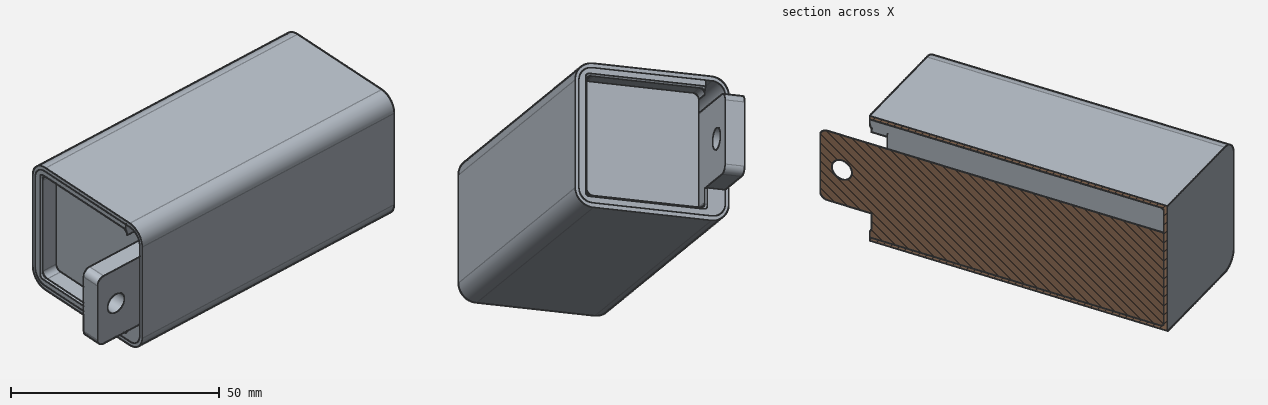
import cadquery as cq

WIDTH = 39.2
HEIGHT = 36.2
TOTAL_LENGTH = 94.7
TAB_REACH = 13.5
HOUSING_LENGTH = TOTAL_LENGTH - TAB_REACH
OUTER_RADIUS = 4.5
SIDE_WALL = 0.9
TOP_WALL = 1.1
BACK_WALL = TOP_WALL
EDGE_CHAMFER = 0.5

CAVITY_WIDTH = WIDTH - 2 * SIDE_WALL
CAVITY_HEIGHT = HEIGHT - 2 * TOP_WALL
CAVITY_DEPTH = HOUSING_LENGTH - BACK_WALL
CAVITY_RADIUS = OUTER_RADIUS - TOP_WALL

TAB_THICKNESS = 5.0
TAB_HEIGHT = 20.1
TAB_RADIUS = 2.0
HOLE_DIAMETER = 5.4
HOLE_FROM_TIP = 6.0
TAB_RIGHT = CAVITY_WIDTH / 2
TAB_LEFT = TAB_RIGHT - TAB_THICKNESS

POCKET_MARGIN = 3.1
POCKET_DEPTH = 4.7
POCKET_LEFT = -WIDTH / 2 + POCKET_MARGIN
POCKET_WIDTH = TAB_LEFT - POCKET_LEFT
POCKET_HEIGHT = HEIGHT - 2 * POCKET_MARGIN
POCKET_RADIUS = 1.5
MOUTH_TAPER = 45


def rounded_bar(width, height, length, radius):
    """Bar along +Y from Y = 0, centred on the Y axis, with rounded long edges."""
    bar = cq.Workplane("XY").box(width, length, height, centered=(True, False, True))
    return bar.edges("|Y").fillet(radius)


def make_cavity():
    """Space inside the housing, with a chamfer around its closed end."""
    cavity = rounded_bar(CAVITY_WIDTH, CAVITY_HEIGHT, CAVITY_DEPTH, CAVITY_RADIUS)
    return cavity.faces(">Y").chamfer(EDGE_CHAMFER)


def make_housing():
    shell = rounded_bar(WIDTH, HEIGHT, HOUSING_LENGTH, OUTER_RADIUS)
    return shell.cut(make_cavity())


def make_pocket():
    """Rounded pocket with a chamfered mouth."""
    pocket = rounded_bar(POCKET_WIDTH, POCKET_HEIGHT, POCKET_DEPTH, POCKET_RADIUS)
    mouth = (
        cq.Workplane("XZ")
        .rect(POCKET_WIDTH + 2 * EDGE_CHAMFER, POCKET_HEIGHT + 2 * EDGE_CHAMFER)
        .extrude(-EDGE_CHAMFER, taper=MOUTH_TAPER)
        .edges("not #Y")
        .fillet(POCKET_RADIUS)
    )
    return pocket.union(mouth).translate(((POCKET_LEFT + TAB_LEFT) / 2, 0, 0))


def make_notch():
    """Full-length gap above the tab, reaching the top and +X walls of the cavity."""
    notch_height = (CAVITY_HEIGHT - TAB_HEIGHT) / 2
    return (
        cq.Workplane("XY")
        .box(TAB_THICKNESS, CAVITY_DEPTH, notch_height, centered=False)
        .translate((TAB_LEFT, 0, TAB_HEIGHT / 2))
    )


def make_tab():
    """Flat tab with a rounded tip and a cross hole, rooted at the pocket floor."""
    tab = (
        cq.Workplane("XY")
        .box(TAB_THICKNESS, TAB_REACH + POCKET_DEPTH, TAB_HEIGHT, centered=(False, False, True))
        .translate((TAB_LEFT, -TAB_REACH, 0))
        .edges("|X and <Y")
        .fillet(TAB_RADIUS)
    )
    hole = (
        cq.Workplane("YZ", origin=(TAB_LEFT, 0, 0))
        .center(HOLE_FROM_TIP - TAB_REACH, 0)
        .circle(HOLE_DIAMETER / 2)
        .extrude(TAB_THICKNESS)
    )
    return tab.cut(hole)


def make_insert():
    """Block that fills the cavity, with its pocket, notch and pull tab."""
    return make_cavity().cut(make_pocket()).cut(make_notch()).union(make_tab())


housing = make_housing()
insert = make_insert()

result = cq.Compound.makeCompound([*housing.solids().vals(), *insert.solids().vals()])